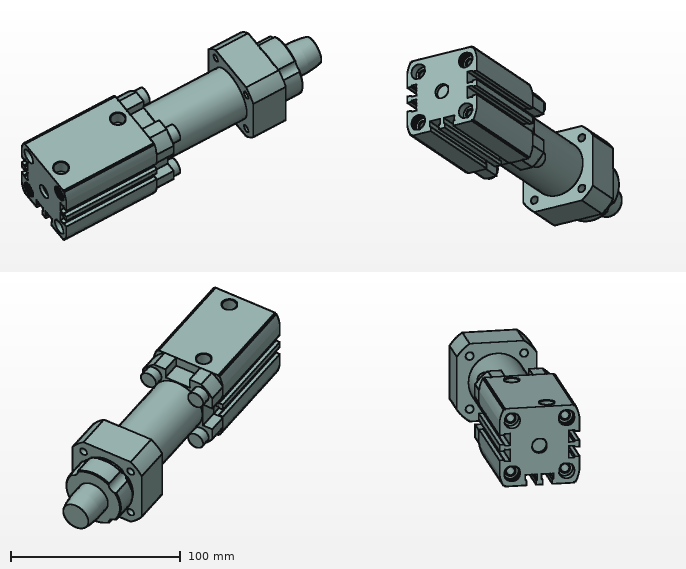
import cadquery as cq

length = 190.0
side = 48.0
half_side = side / 2
bolt_offset = 16.3

cylinder_end = 63.8
flange_end = 75.8
plate_start = 131.9
plate_end = 154.8
nut_groove_bottom = 156.0
nut_groove_end = 157.1
nut_end = 170.5
taper_start = 180.0

top_half_width = 20.7
ledge_drop = 0.5
ledge_width = 1.0
corner_flat = 16.3
corner_arc_x = 23.2
corner_arc_z = 20.0

slot_spacing = 9.7
slot_mouth = 5.7
slot_width = 7.2
slot_mouth_depth = 2.7
slot_taper_depth = 3.5
slot_depth = 6.5

pocket_diameter = 9.0
pocket_depth = 2.3
bolt_hole_diameter = 5.1
bolt_hole_chamfer = 0.48
counterbore_diameter = 9.3
counterbore_depth = 5.3
thread_pitch = 1.9
thread_depth = 0.4
thread_turns = 2
port_diameter = 8.7
port_chamfer = 0.4
port_depth = 9.5
port_offset = 5.9
front_port_y = 56.0
rear_port_y = 8.2

corner_radius = 29.0
notch_width = 16.7
notch_depth = 6.5
tube_radius = 17.1
bolt_head_diameter = 10.5
bolt_head_height = 6.3
plate_hole_diameter = 4.8

nut_radius = 19.0
nut_chamfer = 0.5
groove_radius = 17.5
nut_base_radius = 18.0
nut_notch_count = 4
nut_notch_radius = 4.8
nut_notch_centre = 21.8
rod_radius = 10.3
taper_bulge_radius = 9.9
tip_radius = 9.0
tip_chamfer_length = 0.8
tip_chamfer_width = 0.2

corners = [(x, z) for x in (-bolt_offset, bolt_offset) for z in (-bolt_offset, bolt_offset)]


def plane_at(y):
    """Sketch plane at station y, facing +Y, with first axis -X and second axis Z."""
    return cq.Workplane(cq.Plane(origin=(0, y, 0), xDir=(-1, 0, 0), normal=(0, 1, 0)))


def cylinder_outline():
    """Square with a small ledge and a wide arc at each corner."""
    ledge_x = top_half_width + ledge_width
    ledge_z = half_side - ledge_drop
    return (
        plane_at(0)
        .moveTo(0, half_side)
        .lineTo(top_half_width, half_side)
        .lineTo(top_half_width, ledge_z)
        .lineTo(ledge_x, ledge_z)
        .threePointArc((corner_arc_x, corner_arc_z), (half_side, corner_flat))
        .lineTo(half_side, 0)
        .mirrorX()
        .mirrorY()
    )


def slot_cutter(offset, angle):
    """Sensor slot open at the -Z side, then turned about the main axis."""
    mouth = slot_mouth / 2
    width = slot_width / 2
    return (
        plane_at(0)
        .moveTo(offset - mouth, -half_side)
        .lineTo(offset - mouth, -half_side + slot_mouth_depth)
        .lineTo(offset - width, -half_side + slot_taper_depth)
        .lineTo(offset - width, -half_side + slot_depth)
        .lineTo(offset + width, -half_side + slot_depth)
        .lineTo(offset + width, -half_side + slot_taper_depth)
        .lineTo(offset + mouth, -half_side + slot_mouth_depth)
        .lineTo(offset + mouth, -half_side)
        .close()
        .extrude(cylinder_end)
        .rotate((0, 0, 0), (0, 1, 0), angle)
    )


def revolved(points):
    """Solid of revolution about Y from (radius, y) points."""
    return cq.Workplane("XY").polyline(points).close().revolve(360, (0, 0, 0), (0, 1, 0))


def bolt_hole_cutter():
    """Counterbore with a narrower hole that runs through the cylinder body."""
    hole = bolt_hole_diameter / 2
    bore = counterbore_diameter / 2
    return revolved([
        (0, 0),
        (bore, 0),
        (bore, counterbore_depth),
        (hole + bolt_hole_chamfer, counterbore_depth),
        (hole, counterbore_depth + bolt_hole_chamfer),
        (hole, cylinder_end),
        (0, cylinder_end),
    ])


def thread_groove_cutter():
    """One V-shaped ring around a counterbore, starting at Y = 0."""
    bore = counterbore_diameter / 2
    return revolved([
        (0, 0),
        (bore, 0),
        (bore + thread_depth, thread_pitch / 4),
        (bore, thread_pitch / 2),
        (0, thread_pitch / 2),
    ])


def port_cutter():
    """Chamfered blind port, drilled down from the top face."""
    radius = port_diameter / 2
    return (
        cq.Workplane("XZ")
        .polyline([
            (0, half_side),
            (radius + port_chamfer, half_side),
            (radius, half_side - port_chamfer),
            (radius, half_side - port_depth),
            (0, half_side - port_depth),
        ])
        .close()
        .revolve(360, (0, 0, 0), (0, 1, 0))
    )


def make_cylinder():
    body = cylinder_outline().extrude(cylinder_end)
    for angle in (-90, 0, 90):
        for offset in (-slot_spacing / 2, slot_spacing / 2):
            body = body.cut(slot_cutter(offset, angle))
    for x, z in corners:
        body = body.cut(bolt_hole_cutter().translate((x, 0, z)))
        if x == z:
            for turn in range(thread_turns):
                groove_y = (turn + 0.5) * thread_pitch
                body = body.cut(thread_groove_cutter().translate((x, groove_y, z)))
    body = body.cut(plane_at(0).circle(pocket_diameter / 2).extrude(pocket_depth))
    for x, y in ((-port_offset, front_port_y), (port_offset, rear_port_y)):
        body = body.cut(port_cutter().translate((x, y, 0)))
    return body


def rounded_square(start, end):
    """Square slab whose corners are trimmed by a circle about the main axis."""
    slab = plane_at(start).rect(side, side).extrude(end - start)
    return slab.intersect(plane_at(start).circle(corner_radius).extrude(end - start))


def make_flange():
    thickness = flange_end - cylinder_end
    flange = rounded_square(cylinder_end, flange_end)
    notch = (
        plane_at(cylinder_end)
        .center(0, half_side - notch_depth / 2)
        .rect(notch_width, notch_depth)
        .extrude(thickness)
    )
    for angle in (0, 90, 180, 270):
        flange = flange.cut(notch.rotate((0, 0, 0), (0, 1, 0), angle))
    heads = plane_at(flange_end).pushPoints(corners).circle(bolt_head_diameter / 2).extrude(bolt_head_height)
    return flange.union(heads)


def make_plate():
    plate = rounded_square(plate_start, plate_end)
    holes = (
        plane_at(plate_start)
        .pushPoints(corners)
        .circle(plate_hole_diameter / 2)
        .extrude(plate_end - plate_start)
    )
    return plate.cut(holes)


def make_holder():
    tube = plane_at(flange_end).circle(tube_radius).extrude(plate_start - flange_end)
    return make_flange().union(tube).union(make_plate())


def make_nut():
    nut = revolved([
        (0, plate_end),
        (nut_base_radius, plate_end),
        (groove_radius, nut_groove_bottom),
        (nut_radius, nut_groove_end),
        (nut_radius, nut_end - nut_chamfer),
        (nut_radius - nut_chamfer, nut_end),
        (0, nut_end),
    ])
    notches = (
        plane_at(plate_end)
        .polarArray(nut_notch_centre, 45, 360, nut_notch_count)
        .circle(nut_notch_radius)
        .extrude(nut_end - plate_end)
    )
    return nut.cut(notches)


def make_nose():
    tip_edge = length - tip_chamfer_length
    rod = (
        cq.Workplane("XY")
        .moveTo(0, nut_end)
        .lineTo(rod_radius, nut_end)
        .lineTo(rod_radius, taper_start)
        .threePointArc((taper_bulge_radius, (taper_start + tip_edge) / 2), (tip_radius, tip_edge))
        .lineTo(tip_radius - tip_chamfer_width, length)
        .lineTo(0, length)
        .close()
        .revolve(360, (0, 0, 0), (0, 1, 0))
    )
    return make_nut().union(rod)


cylinder = make_cylinder()
holder = make_holder()
nose = make_nose()

result = cq.Compound.makeCompound([cylinder.val(), holder.val(), nose.val()])